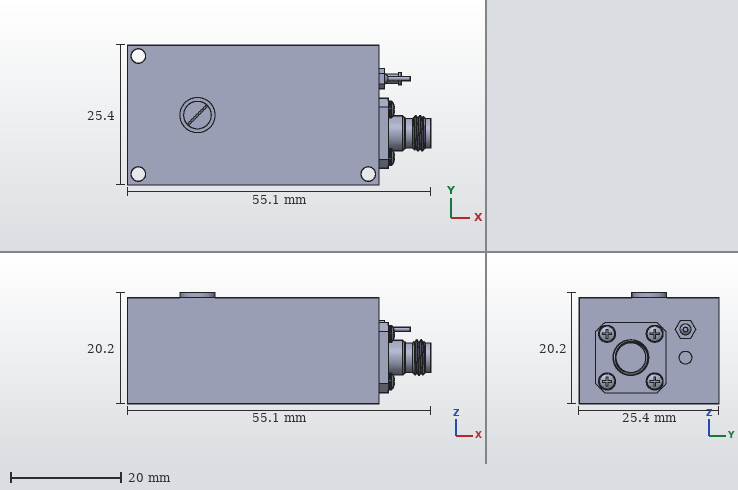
import cadquery as cq
import math

body_length = 45.75
body_width = 25.4
body_height = 19.3
mount_hole_diameter = 2.6
mount_hole_inset = 2.0

adjuster_x = 12.75
adjuster_diameter = 6.4
adjuster_height = 0.95
recess_diameter = 5.0
recess_depth = 0.45
slot_width = 0.35
slot_depth = 0.3
slot_angle = 45

connector_y = -3.3
connector_z = 8.4
connector_reach = 9.35
flange_size = 12.8
flange_chamfer = 1.65
flange_thickness = 1.65
barrel_radius = 3.2
barrel_end = 4.25
neck_radius = 2.7
shoulder_step = 0.1
shoulder_land = 0.15

thread_start = 6.05
thread_pitch = 0.75
thread_turns = 3
thread_root_radius = 2.8
thread_crest_radius = 3.25
thread_root_width = 0.1
thread_crest_width = 0.05
thread_clearance = 0.05

screw_spacing = 8.65
screw_radius = 1.55
screw_rim_height = 0.6
screw_height = 1.15
knurl_count = 20
knurl_width = 0.2
knurl_depth = 0.15
knurl_margin = 0.2
cross_length = 1.65
cross_width = 0.35
cross_depth = 0.2

terminal_y = 6.6
terminal_z = 13.5
nut_corner_diameter = 3.75
nut_thickness = 1.0
cone_base_radius = 1.0
pin_radius = 0.415
cone_end = 1.6
pin_end = 5.7
turret_z = connector_z
turret_radius = 0.9
turret_ring_radius = 1.15
turret_ring_start = 3.45
turret_end = 4.0


def on_end_face(shape, y, z):
    """Turn a shape built along +Z from the origin so that it stands on the +X face."""
    return shape.rotate((0, 0, 0), (0, 1, 0), 90).translate((body_length, y, z))


def turned(points):
    """Solid of revolution about Z from (radius, height) points."""
    profile = cq.Workplane("XZ").polyline(points).close()
    return profile.revolve(360, (0, 0, 0), (0, 1, 0))


def make_housing():
    hole_x = body_length / 2 - mount_hole_inset
    hole_y = body_width / 2 - mount_hole_inset
    block = cq.Workplane("XY").box(body_length, body_width, body_height)
    block = (
        block.faces(">Z").workplane()
        .pushPoints([(-hole_x, hole_y), (-hole_x, -hole_y), (hole_x, -hole_y)])
        .hole(mount_hole_diameter)
    )
    return block.translate((body_length / 2, 0, body_height / 2))


def make_adjuster():
    floor = adjuster_height - recess_depth
    boss = cq.Workplane("XY").circle(adjuster_diameter / 2).extrude(adjuster_height)
    recess = cq.Workplane("XY").workplane(offset=floor).circle(recess_diameter / 2).extrude(recess_depth)
    slot = (
        cq.Workplane("XY").workplane(offset=floor - slot_depth)
        .rect(recess_diameter, slot_width).extrude(slot_depth)
        .rotate((0, 0, 0), (0, 0, 1), slot_angle)
        .intersect(cq.Workplane("XY").circle(recess_diameter / 2).extrude(adjuster_height))
    )
    return boss.cut(recess).cut(slot).translate((adjuster_x, 0, body_height))


def make_thread():
    """Collar with tapered ends and a right-handed V groove running past both of them."""
    length = thread_pitch * thread_turns
    end = thread_start + length
    taper = thread_crest_radius - neck_radius
    collar = turned([
        (0, thread_start),
        (neck_radius, thread_start),
        (thread_crest_radius, thread_start + taper),
        (thread_crest_radius, end - taper),
        (neck_radius, end),
        (0, end),
    ])
    half_root = thread_root_width / 2
    half_mouth = (thread_pitch - thread_crest_width) / 2
    mouth_radius = thread_crest_radius + thread_clearance
    helix = cq.Wire.makeHelix(thread_pitch, length + 2 * thread_pitch, thread_root_radius)
    groove = (
        cq.Workplane("XZ")
        .polyline([
            (thread_root_radius, -half_root),
            (mouth_radius, -half_mouth),
            (mouth_radius, half_mouth),
            (thread_root_radius, half_root),
        ])
        .close()
        .sweep(cq.Workplane(obj=helix), isFrenet=True)
        .translate((0, 0, thread_start - thread_pitch))
    )
    return collar.cut(groove)


def make_screw():
    """Domed screw head with a knurled rim and a cross recess."""
    dome_drop = screw_height - screw_rim_height
    dome_radius = (dome_drop ** 2 + screw_radius ** 2) / (2 * dome_drop)
    half_angle = math.asin(screw_radius / dome_radius) / 2
    dome_middle = (
        dome_radius * math.sin(half_angle),
        screw_height - dome_radius * (1 - math.cos(half_angle)),
    )
    head = (
        cq.Workplane("XZ").lineTo(screw_radius, 0).lineTo(screw_radius, screw_rim_height)
        .threePointArc(dome_middle, (0, screw_height)).close()
        .revolve(360, (0, 0, 0), (0, 1, 0))
    )
    grooves = (
        cq.Workplane("XY").workplane(offset=knurl_margin)
        .polarArray(screw_radius, 0, 360, knurl_count)
        .rect(2 * knurl_depth, knurl_width).extrude(screw_rim_height - knurl_margin)
    )
    cross = cq.Workplane("XY").workplane(offset=screw_height - cross_depth)
    for arm in [(cross_length, cross_width), (cross_width, cross_length)]:
        head = head.cut(cross.rect(*arm).extrude(cross_depth))
    return head.cut(grooves)


def make_connector():
    flange = (
        cq.Workplane("XY").rect(flange_size, flange_size).extrude(flange_thickness)
        .edges("|Z").chamfer(flange_chamfer)
    )
    shoulder_radius = neck_radius + shoulder_step
    shoulder_start = barrel_end + barrel_radius - shoulder_radius
    shoulder_end = shoulder_start + shoulder_land
    barrel = turned([
        (0, 0),
        (barrel_radius, 0),
        (barrel_radius, barrel_end),
        (shoulder_radius, shoulder_start),
        (shoulder_radius, shoulder_end),
        (neck_radius, shoulder_end),
        (neck_radius, connector_reach),
        (0, connector_reach),
    ])
    connector = flange.union(barrel).union(make_thread())
    screw = make_screw()
    for side_x in (-1, 1):
        for side_y in (-1, 1):
            place = (side_x * screw_spacing / 2, side_y * screw_spacing / 2, flange_thickness)
            connector = connector.union(screw.translate(place))
    return on_end_face(connector, connector_y, connector_z)


def make_terminal():
    nut = (
        cq.Workplane("XY").polygon(6, nut_corner_diameter).extrude(nut_thickness)
        .rotate((0, 0, 0), (0, 0, 1), 90)
    )
    pin = turned([
        (0, 0),
        (cone_base_radius, 0),
        (cone_base_radius, nut_thickness),
        (pin_radius, cone_end),
        (pin_radius, pin_end),
        (0, pin_end),
    ])
    return on_end_face(nut.union(pin), terminal_y, terminal_z)


def make_turret():
    post = cq.Workplane("XY").circle(turret_radius).extrude(turret_end)
    ring = (
        cq.Workplane("XY").workplane(offset=turret_ring_start)
        .circle(turret_ring_radius).extrude(turret_end - turret_ring_start)
    )
    return on_end_face(post.union(ring), terminal_y, turret_z)


result = make_housing()
for feature in (make_adjuster(), make_connector(), make_terminal(), make_turret()):
    result = result.union(feature)